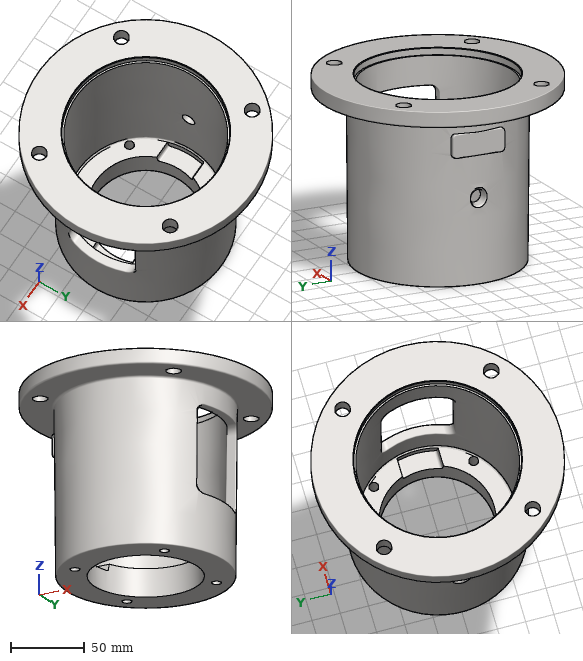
import cadquery as cq
import math

height = 133.4
flange_radius = 86.5
flange_thickness = 11.2
flange_underside = height - flange_thickness
flange_top_round = 0.5
flange_bottom_round = 1.2
neck_round = 1.5

barrel_top_radius = 62.6
barrel_bottom_radius = 61.5
barrel_bottom_round = 0.7

pilot_radius = 57.3
pilot_depth = 5.2
pilot_mouth_chamfer = 0.5
cavity_top_radius = 55.9
cavity_bottom_radius = 54.3
cavity_floor_round = 1.2
floor_thickness = 20.8
opening_radius = 40.0

channel_depth = 5.2
channel_top_half_width = 14.5
channel_bottom_half_width = 13.7
channel_end_radius = cavity_bottom_radius - cavity_floor_round
channel_floor_round = 1.7

flange_hole_spacing = 105.2
flange_hole_diameter = 10.5
floor_hole_spacing = 70.5
floor_hole_diameter = 6.5

window_bottom = 42.2
window_top = 106.7
window_width = 52.5
window_corner_round = 6.0
window_rim_round = 0.7

side_hole_height = 62.1
side_hole_outer_radius = 5.7
side_hole_inner_radius = 4.8
side_hole_mouth_round = 1.7

pad_width = 39.5
pad_bottom = 92.7
pad_top = 109.8
pad_face_distance = 62.8
pad_corner_round = 2.6
pad_edge_round = 0.9


def flange():
    return (
        cq.Workplane("XY")
        .workplane(offset=flange_underside)
        .circle(flange_radius)
        .extrude(flange_thickness)
        .faces(">Z")
        .edges()
        .fillet(flange_top_round)
        .faces("<Z")
        .edges()
        .fillet(flange_bottom_round)
    )


def barrel():
    """Drafted solid barrel, flaring into the flange with a concave round."""
    bend = neck_round * math.sqrt(0.5)
    return (
        cq.Workplane("XZ")
        .lineTo(barrel_bottom_radius - barrel_bottom_round, 0)
        .radiusArc((barrel_bottom_radius, barrel_bottom_round), -barrel_bottom_round)
        .lineTo(barrel_top_radius, flange_underside - neck_round)
        .threePointArc(
            (barrel_top_radius + neck_round - bend, flange_underside - neck_round + bend),
            (barrel_top_radius + neck_round, flange_underside),
        )
        .lineTo(0, flange_underside)
        .close()
        .revolve(360, (0, 0, 0), (0, 1, 0))
    )


def nameplate_pad():
    """Flat-faced pad, reaching inward to be merged into the barrel wall."""
    return (
        cq.Workplane("YZ")
        .workplane(offset=-pad_face_distance)
        .center(0, (pad_bottom + pad_top) / 2)
        .rect(pad_width, pad_top - pad_bottom)
        .extrude(pad_face_distance - cavity_top_radius)
        .edges("|X")
        .fillet(pad_corner_round)
        .faces("<X")
        .edges()
        .fillet(pad_edge_round)
    )


def cavity():
    """Pilot counterbore, drafted cavity and central opening as one revolved cutter."""
    pilot_floor = height - pilot_depth
    return (
        cq.Workplane("XZ")
        .lineTo(opening_radius, 0)
        .lineTo(opening_radius, floor_thickness)
        .lineTo(cavity_bottom_radius - cavity_floor_round, floor_thickness)
        .radiusArc((cavity_bottom_radius, floor_thickness + cavity_floor_round), -cavity_floor_round)
        .lineTo(cavity_top_radius, pilot_floor)
        .lineTo(pilot_radius, pilot_floor)
        .lineTo(pilot_radius, height - pilot_mouth_chamfer)
        .lineTo(pilot_radius + pilot_mouth_chamfer, height)
        .lineTo(0, height)
        .close()
        .revolve(360, (0, 0, 0), (0, 1, 0))
    )


def floor_channel():
    """Drafted channel across the floor, ending at the edge of the flat floor."""
    channel_bottom = floor_thickness - channel_depth
    channel = (
        cq.Workplane("YZ")
        .workplane(offset=-flange_radius)
        .moveTo(-channel_top_half_width, floor_thickness)
        .lineTo(-channel_bottom_half_width, channel_bottom)
        .lineTo(channel_bottom_half_width, channel_bottom)
        .lineTo(channel_top_half_width, floor_thickness)
        .close()
        .extrude(2 * flange_radius)
        .faces("<Z")
        .edges("|X")
        .fillet(channel_floor_round)
    )
    limit = cq.Workplane("XY").circle(channel_end_radius).extrude(height)
    return channel.intersect(limit)


def square_hole_pattern(spacing, diameter):
    return (
        cq.Workplane("XY")
        .rect(spacing, spacing, forConstruction=True)
        .vertices()
        .circle(diameter / 2)
        .extrude(height)
    )


def window():
    return (
        cq.Workplane("YZ")
        .center(0, (window_bottom + window_top) / 2)
        .rect(window_width, window_top - window_bottom)
        .extrude(flange_radius)
        .edges("|X")
        .fillet(window_corner_round)
    )


def side_hole():
    """Hole narrowing inward, with a rounded mouth at the barrel surface."""
    rise = side_hole_height / flange_underside
    mouth = barrel_bottom_radius + (barrel_top_radius - barrel_bottom_radius) * rise
    mouth_radius = side_hole_outer_radius + side_hole_mouth_round
    return (
        cq.Workplane("XY")
        .workplane(offset=side_hole_height)
        .lineTo(0, side_hole_inner_radius)
        .lineTo(-cavity_bottom_radius, side_hole_inner_radius)
        .lineTo(-mouth + side_hole_mouth_round, side_hole_outer_radius)
        .radiusArc((-mouth, mouth_radius), side_hole_mouth_round)
        .lineTo(-flange_radius, mouth_radius)
        .lineTo(-flange_radius, 0)
        .close()
        .revolve(360, (0, 0, 0), (1, 0, 0))
    )


def cut_window(body):
    """Cut the access window and round its rims on both sides of the wall."""
    margin = 0.9
    around_window = cq.selectors.BoxSelector(
        (0, -window_width / 2 - margin, window_bottom - margin),
        (flange_radius, window_width / 2 + margin, window_top + margin),
        boundingbox=True,
    )
    rims = body.cut(window()).edges(around_window).edges("not |X")
    return rims.fillet(window_rim_round)


hollow_body = flange().union(barrel()).union(nameplate_pad()).cut(cavity())

result = (
    cut_window(hollow_body)
    .cut(floor_channel())
    .cut(square_hole_pattern(flange_hole_spacing, flange_hole_diameter))
    .cut(square_hole_pattern(floor_hole_spacing, floor_hole_diameter))
    .cut(side_hole())
)